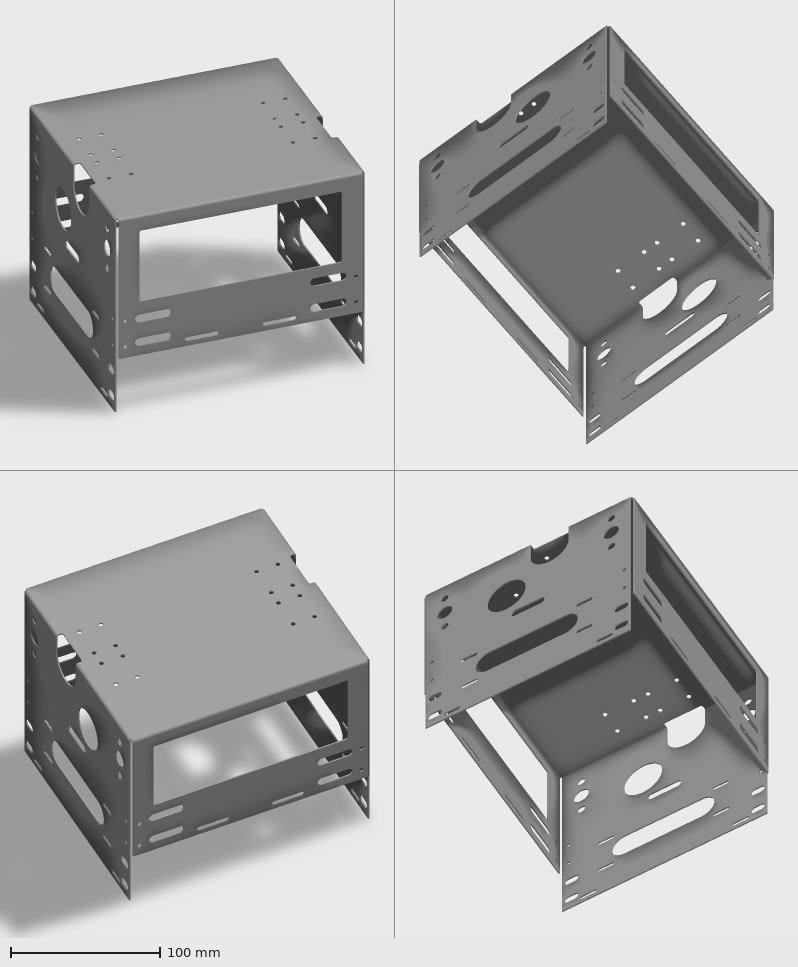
import cadquery as cq

width = 164.0
depth = 179.0
height = 150.0

sheet = 1.0
bend_inner = sheet
bend_outer = bend_inner + sheet

end_wall_width = width - 2 * bend_outer
side_wall_length = depth - 2 * bend_outer
side_wall_height = 108.2

screw_hole = 3.2
rivet_hole = 3.0
bolt_hole = 6.0
cable_hole = 12.0
round_port = 30.0
wide_slot = 6.0
narrow_slot = 3.0

bolt_x = 65.0
cable_drop = 30.6
bolt_pitch = 15.5
port_x = 16.8
round_port_drop = 45.3
notch_center_drop = 15.0
notch_roof_reach = 5.0
notch_corner_radius = 1.5
middle_slot_length = 26.0
middle_slot_drop = 69.1
end_rivet_x = 75.0
rivet_drops = (79.7, 99.7)
long_slot_x = -1.0
long_slot_drop = 109.0
long_slot_length = 80.0
long_slot_height = 20.0
mount_slot_length = 13.0
mount_slot_dx = 45.0
mount_slot_dz = 14.9
foot_slot_x = 72.7
foot_slot_length = 11.0
foot_slot_drops = (120.1, 140.2)
base_slot_x = 59.5
base_slot_drop = 145.2

window_length = 145.0
window_top_drop = 11.6
window_height = 55.0
window_corner_radius = 1.0
side_slot_y = 62.9
side_slot_length = 26.0
upper_slot_drop = 79.7
raised_slot_drop = 77.9
lower_slot_drop = 98.0
side_rivet_y = 82.7
side_base_slot_y = 28.0
side_base_slot_length = 24.0
side_base_slot_drop = 103.0

roof_hole_xs = (5.5, 28.0)
roof_hole_ys = (58.0, 74.0)


def bent_channel(plane, span, leg, length):
    """Inverted U of bent sheet, centred on the origin, with its roof at z = 0."""
    half = span / 2
    inner = half - sheet
    profile = (
        cq.Workplane(plane)
        .moveTo(-half, -leg)
        .lineTo(-half, -bend_outer)
        .radiusArc((-half + bend_outer, 0), bend_outer)
        .lineTo(half - bend_outer, 0)
        .radiusArc((half, -bend_outer), bend_outer)
        .lineTo(half, -leg)
        .lineTo(inner, -leg)
        .lineTo(inner, -bend_outer)
        .radiusArc((inner - bend_inner, -sheet), -bend_inner)
        .lineTo(-inner + bend_inner, -sheet)
        .radiusArc((-inner, -bend_outer), -bend_inner)
        .lineTo(-inner, -leg)
        .close()
    )
    return profile.extrude(length / 2, both=True)


def round_cut(plane, points, diameter):
    """Cylinders reaching through both opposite walls (or the roof)."""
    return cq.Workplane(plane).pushPoints(points).circle(diameter / 2).extrude(depth, both=True)


def slot_cut(plane, points, length, slot_height):
    """Round-ended horizontal slots reaching through both opposite walls."""
    return cq.Workplane(plane).pushPoints(points).slot2D(length, slot_height).extrude(depth, both=True)


def mirrored(offset, drops):
    """Points at +/- offset from the middle, at each drop below the roof."""
    return [(side * offset, -drop) for side in (-1, 1) for drop in drops]


def end_wall_cuts():
    bolt_drops = (cable_drop - bolt_pitch, cable_drop + bolt_pitch)
    mount_drops = (long_slot_drop - mount_slot_dz, long_slot_drop + mount_slot_dz)
    mount_points = [(long_slot_x + x, z) for x, z in mirrored(mount_slot_dx, mount_drops)]
    return [
        round_cut("XZ", mirrored(bolt_x, bolt_drops), bolt_hole),
        round_cut("XZ", mirrored(bolt_x, (cable_drop,)), cable_hole),
        round_cut("XZ", [(-port_x, -round_port_drop)], round_port),
        round_cut("XZ", mirrored(end_rivet_x, rivet_drops), rivet_hole),
        slot_cut("XZ", [(0, -middle_slot_drop)], middle_slot_length, wide_slot),
        slot_cut("XZ", [(long_slot_x, -long_slot_drop)], long_slot_length, long_slot_height),
        slot_cut("XZ", mount_points, mount_slot_length, narrow_slot),
        slot_cut("XZ", mirrored(foot_slot_x, foot_slot_drops), foot_slot_length, wide_slot),
        slot_cut("XZ", mirrored(base_slot_x, (base_slot_drop,)), mount_slot_length, narrow_slot),
    ]


def side_wall_cuts():
    window = (
        cq.Workplane("YZ")
        .center(0, -window_top_drop - window_height / 2)
        .rect(window_length, window_height)
        .extrude(width, both=True)
        .edges("|X")
        .fillet(window_corner_radius)
    )
    slot_points = mirrored(side_slot_y, (lower_slot_drop,))
    slot_points += [(-side_slot_y, -upper_slot_drop), (side_slot_y, -raised_slot_drop)]
    base_points = mirrored(side_base_slot_y, (side_base_slot_drop,))
    return [
        window,
        slot_cut("YZ", slot_points, side_slot_length, wide_slot),
        slot_cut("YZ", base_points, side_base_slot_length, narrow_slot),
        round_cut("YZ", mirrored(side_rivet_y, rivet_drops), rivet_hole),
    ]


def notch_cuts():
    """U-shaped openings in both end walls that run up over the bend into the roof."""
    cuts = []
    for side in (-1, 1):
        opening = (
            cq.Workplane("XY")
            .box(round_port, 2 * notch_roof_reach, 2 * notch_center_drop)
            .edges("|Z")
            .fillet(notch_corner_radius)
            .translate((port_x, side * depth / 2, 0))
        )
        bottom = (
            cq.Workplane("XZ")
            .center(port_x, -notch_center_drop)
            .circle(round_port / 2)
            .extrude(notch_roof_reach, both=True)
            .translate((0, side * depth / 2, 0))
        )
        cuts += [opening, bottom]
    return cuts


def roof_cuts():
    points = [
        (x_side * x, y_side * y)
        for x in roof_hole_xs
        for y in roof_hole_ys
        for x_side in (-1, 1)
        for y_side in (-1, 1)
    ]
    return [round_cut("XY", points, screw_hole)]


end_channel = bent_channel("YZ", depth, height, end_wall_width)
side_channel = bent_channel("XZ", width, side_wall_height, side_wall_length)
result = end_channel.union(side_channel)
for cut in end_wall_cuts() + side_wall_cuts() + notch_cuts() + roof_cuts():
    result = result.cut(cut)